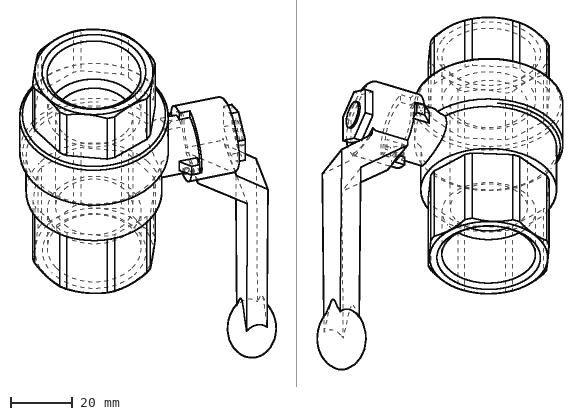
import cadquery as cq


body_half_length = 41.7
collar_diameter = 48.0
collar_top = 21.8
collar_bottom = 3.7
collar_edge = 0.9
collar_flare_height = 0.6
barrel_diameter = 44.0
barrel_bottom = -14.1
hub_across_corners = 40.5
hub_across_flats = 38.4
hub_sides = 8
hub_chamfer_radial = 1.2
hub_chamfer_axial = 1.0

bore_diameter = 25.0
socket_diameter = 30.3
socket_mouth_diameter = 33.5
socket_mouth_chamfer = 1.3
socket_depth = 19.1
floor_cone_depth = 1.5

stem_diameter = 19.0
stop_start = 26.0
stop_bevel_end = 29.3
stop_end = 32.0
stop_width = 4.1

cap_diameter = 25.0
cap_base = 32.8
cap_top = 45.7
cap_edge_radius = 1.6
rim_depth = 3.5
nut_sides = 6
nut_across_corners = 19.0
nut_top = 48.5
stud_diameter = 8.8
stud_top = 49.1

lever_inner = 49.5
lever_outer = 56.5
lever_outer_bend = -21.8
lever_inner_bend = -26.6
lever_diagonal_start = -12.0
lever_end = -88.2
lever_root_width = 15.1
lever_end_width = 11.9

knob_axis = (lever_inner + lever_outer) / 2
knob_tip = -105.3
knob_widest = -92.9
knob_radius = 8.0
knob_shoulder = -84.0
knob_shoulder_radius = 5.3
knob_neck = -78.4
knob_neck_radius = (lever_outer - lever_inner) / 2


def cylinder_z(diameter, bottom, top):
    return cq.Workplane("XY").workplane(offset=bottom).circle(diameter / 2).extrude(top - bottom)


def y_plane(start):
    """Work plane across the stem axis, facing +Y."""
    return cq.Workplane("XZ", origin=(0, start, 0)).transformed(rotate=(180, 0, 0))


def cylinder_y(diameter, start, end):
    return y_plane(start).circle(diameter / 2).extrude(end - start)


def block(x_range, y_range, z_range):
    """Box spanning the given coordinate ranges."""
    sizes = [high - low for low, high in (x_range, y_range, z_range)]
    corner = (x_range[0], y_range[0], z_range[0])
    return cq.Workplane("XY").box(*sizes, centered=False).translate(corner)


def make_hub():
    """Full-length octagon whose corners and ends are trimmed by a chamfered cylinder."""
    octagon = (
        cq.Workplane("XY")
        .workplane(offset=-body_half_length)
        .polygon(hub_sides, hub_across_flats, circumscribed=True)
        .extrude(2 * body_half_length)
        .rotate((0, 0, 0), (0, 0, 1), 180 / hub_sides)
    )
    trim = cylinder_z(hub_across_corners, -body_half_length, body_half_length)
    trim = trim.faces(">Z").chamfer(hub_chamfer_axial, hub_chamfer_radial)
    trim = trim.faces("<Z").chamfer(hub_chamfer_axial, hub_chamfer_radial)
    return octagon.intersect(trim)


def make_body():
    """Hub carrying a round collar that flares in to the narrower barrel below it."""
    collar = cylinder_z(collar_diameter, collar_bottom, collar_top).edges().chamfer(collar_edge)
    barrel = cylinder_z(barrel_diameter, barrel_bottom, collar_top - collar_edge)
    flare = (
        cq.Workplane("XY")
        .workplane(offset=collar_bottom - collar_flare_height)
        .circle(barrel_diameter / 2)
        .workplane(offset=collar_flare_height)
        .circle(collar_diameter / 2 - collar_edge)
        .loft(ruled=True)
    )
    return make_hub().union(collar).union(flare).union(barrel)


def make_passage():
    """Straight bore with a wider socket and a bevelled mouth at each end."""
    bore_radius = bore_diameter / 2
    socket_radius = socket_diameter / 2
    mouth_radius = socket_mouth_diameter / 2
    socket_floor = body_half_length - socket_depth
    half = (
        cq.Workplane("XZ")
        .moveTo(0, 0)
        .lineTo(bore_radius, 0)
        .lineTo(bore_radius, socket_floor - floor_cone_depth)
        .lineTo(socket_radius, socket_floor)
        .lineTo(socket_radius, body_half_length - socket_mouth_chamfer)
        .lineTo(mouth_radius, body_half_length)
        .lineTo(0, body_half_length)
        .close()
        .revolve(360, (0, 0, 0), (0, 1, 0))
    )
    return half.union(half.mirror("XY"))


def make_stops():
    """Bar across the stem, its two ends bevelled down to the stem surface."""
    stem_radius = stem_diameter / 2
    reach = cap_diameter / 2
    return (
        cq.Workplane("XY")
        .workplane(offset=-stop_width / 2)
        .polyline([
            (-stem_radius, stop_start),
            (stem_radius, stop_start),
            (reach, stop_bevel_end),
            (reach, stop_end),
            (-reach, stop_end),
            (-reach, stop_bevel_end),
        ])
        .close()
        .extrude(stop_width)
    )


def make_cap():
    """Round cap with two opposite quarter rims that meet the travel stops."""
    cap = cylinder_y(cap_diameter, cap_base, cap_top).faces(">Y").edges().fillet(cap_edge_radius)
    rim_end = cap_base - rim_depth
    rim_ring = cylinder_y(cap_diameter, rim_end, cap_base)
    near = stop_width / 2
    far = cap_diameter
    rim_span = (rim_end, cap_base)
    upper_rim = rim_ring.intersect(block((-far, -near), rim_span, (near, far)))
    lower_rim = rim_ring.intersect(block((near, far), rim_span, (-far, -near)))
    return cap.union(upper_rim).union(lower_rim)


def make_nut():
    """Hexagon nut with corners pointing up and down the flow axis, and a stud end through it."""
    nut = y_plane(cap_top).transformed(rotate=(0, 0, 90)).polygon(nut_sides, nut_across_corners)
    nut = nut.extrude(nut_top - cap_top)
    return nut.union(cylinder_y(stud_diameter, cap_top, stud_top))


def make_lever():
    """Cranked bar, cut to a width that tapers evenly towards the knob."""
    side = (
        cq.Workplane("YZ")
        .workplane(offset=-lever_root_width / 2)
        .polyline([
            (cap_base, 0),
            (cap_base, lever_diagonal_start),
            (lever_inner, lever_inner_bend),
            (lever_inner, lever_end),
            (lever_outer, lever_end),
            (lever_outer, lever_outer_bend),
            (cap_top, lever_diagonal_start),
            (cap_top - cap_edge_radius, 0),
        ])
        .close()
        .extrude(lever_root_width)
    )
    root = lever_root_width / 2
    end = lever_end_width / 2
    taper = (
        y_plane(0)
        .polyline([
            (-root, 0),
            (root, 0),
            (end, -lever_end),
            (-end, -lever_end),
        ])
        .close()
        .extrude(lever_outer)
    )
    return side.intersect(taper)


def make_knob():
    """Pointed egg with a conical neck, turned about the lever's centre line."""
    flank = [(0, knob_tip), (knob_radius, knob_widest), (knob_shoulder_radius, knob_shoulder)]
    flank_directions = [(2.0, 1.0), (0, 1.0), (-0.6, 1.0)]
    return (
        cq.Workplane("XZ")
        .spline(flank, tangents=flank_directions)
        .lineTo(knob_neck_radius, knob_neck)
        .lineTo(0, knob_neck)
        .close()
        .revolve(360, (0, 0, 0), (0, 1, 0))
        .translate((0, knob_axis, 0))
    )


stem = cylinder_y(stem_diameter, 0, cap_base)
result = make_body().union(stem).cut(make_passage())
for piece in (make_stops(), make_cap(), make_nut(), make_lever(), make_knob()):
    result = result.union(piece)